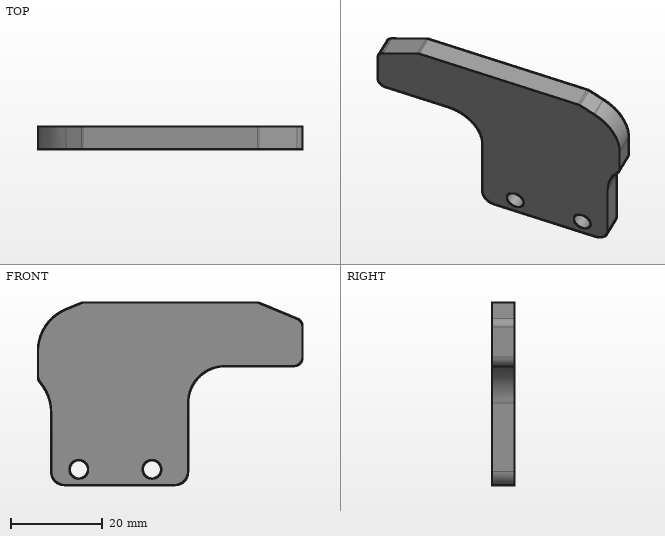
import cadquery as cq
import math

length = 57.95
height = 40.0
thickness = 5.0

stem_left = 2.9
stem_width = 30.0
stem_right = stem_left + stem_width
arm_depth = 13.95
arm_bottom = height - arm_depth

slope_run = 9.75
slope_angle = math.radians(22.5)
slope_bottom = height - slope_run * math.tan(slope_angle)

blend_radius = 9.95
blend_start = 16.0
blend_center_x = stem_left - blend_radius
blend_angle = math.acos(-blend_center_x / blend_radius)
blend_end = blend_start + blend_radius * math.sin(blend_angle)
blend_middle = (
    blend_center_x + blend_radius * math.cos(blend_angle / 2),
    blend_start + blend_radius * math.sin(blend_angle / 2),
)

shoulder_radius = 9.95
inner_radius = 8.0
stem_radius = 3.0
small_radius = 2.0
slope_radius = 1.0

hole_diameter = 4.0
hole_spacing = 16.0
hole_left = 9.0
hole_height = 3.5


def make_blank():
    """Plate with sharp corners, extruded from the front face toward +Y."""
    return (
        cq.Workplane("XZ")
        .moveTo(stem_left, 0)
        .lineTo(stem_right, 0)
        .lineTo(stem_right, arm_bottom)
        .lineTo(length, arm_bottom)
        .lineTo(length, slope_bottom)
        .lineTo(length - slope_run, height)
        .lineTo(slope_run, height)
        .lineTo(0, slope_bottom)
        .lineTo(0, blend_end)
        .threePointArc(blend_middle, (stem_left, blend_start))
        .close()
        .extrude(-thickness)
    )


def round_corner(plate, x, z, radius):
    """Fillet the edge running through the thickness at the corner (x, z)."""
    corner = cq.selectors.NearestToPointSelector((x, thickness / 2, z))
    return plate.edges("|Y").edges(corner).fillet(radius)


corners = [
    (stem_left, 0, stem_radius),
    (stem_right, 0, stem_radius),
    (stem_right, arm_bottom, inner_radius),
    (length, arm_bottom, small_radius),
    (length, slope_bottom, small_radius),
    (length - slope_run, height, slope_radius),
    (slope_run, height, slope_radius),
    (0, slope_bottom, shoulder_radius),
    (0, blend_end, small_radius),
]

plate = make_blank()
for x, z, radius in corners:
    plate = round_corner(plate, x, z, radius)

holes = (
    cq.Workplane("XZ")
    .pushPoints([(hole_left, hole_height), (hole_left + hole_spacing, hole_height)])
    .circle(hole_diameter / 2)
    .extrude(-thickness)
)

result = plate.cut(holes)